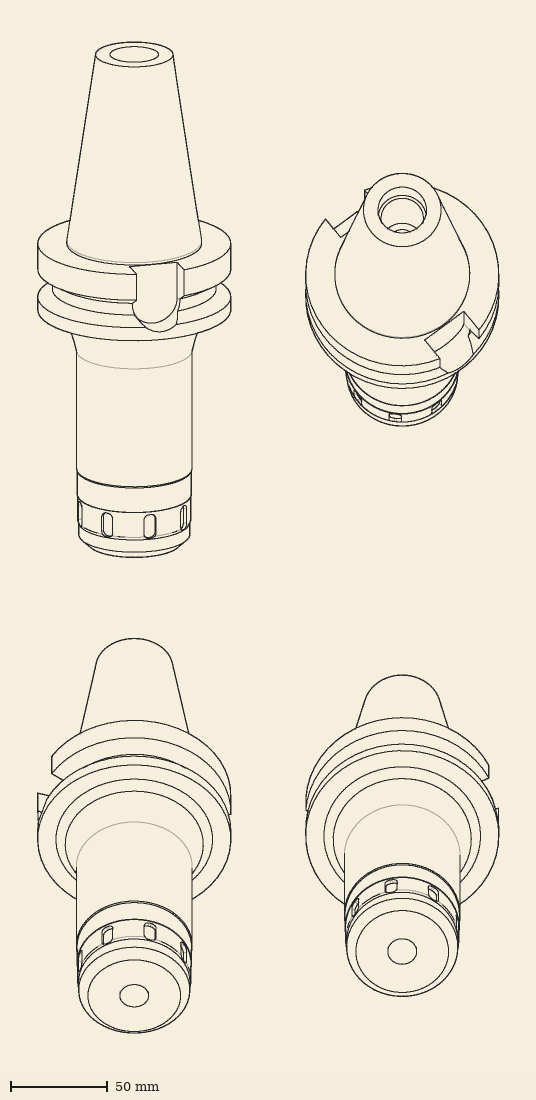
import cadquery as cq

total_length = 266.8

gauge_radius = 35.0
gauge_depth = 102.0
taper_ratio = 7 / 24
small_end_radius = gauge_radius - gauge_depth * taper_ratio / 2
bore_radius = 12.5
bore_depth = 13.3
thread_radius = 11.0
thread_depth = 53.4
coolant_radius = 7.5

flange_radius = 50.02
flange_top_depth = 103.3
flange_bottom_depth = 139.5
groove_radius = 42.5
groove_top_depth = 117.5
groove_bottom_depth = 132.3
groove_side_height = 4.3

drive_slot_width = 25.5
drive_slot_bottom_depth = 135.3
drive_slot_floor = 35.5

neck_top_radius = 40.5
neck_radius = 35.8
neck_chamfer_depth = 143.5
neck_end_depth = 161.7
neck_sag = 0.5

body_radius = 30.02
body_end_depth = 226.5
body_end_bevel = 0.8
collar_radius = 29.5
nut_top_depth = 240.5
nut_radius = 29.3
nut_edge_depth = 254.0
nut_end_depth = 255.5
nose_radius = 28.8
nose_chamfer_depth = 262.3
nose_end_radius = 24.0

spanner_slot_count = 8
spanner_slot_width = 6.5
spanner_slot_top_depth = 242.0
spanner_slot_bottom_depth = 255.0
spanner_slot_cut = 2.1
spanner_slot_corner = 2.7


def height(depth):
    """Z of a level given its depth below the small end of the taper."""
    return total_length - depth


def turned_body():
    neck_mid_radius = (neck_radius + body_radius) / 2 - neck_sag
    neck_mid_height = height((neck_chamfer_depth + neck_end_depth) / 2)
    return (
        cq.Workplane("XZ")
        .moveTo(0, total_length)
        .lineTo(small_end_radius, total_length)
        .lineTo(gauge_radius, height(gauge_depth))
        .lineTo(gauge_radius, height(flange_top_depth))
        .lineTo(flange_radius, height(flange_top_depth))
        .lineTo(flange_radius, height(groove_top_depth))
        .lineTo(groove_radius, height(groove_top_depth + groove_side_height))
        .lineTo(groove_radius, height(groove_bottom_depth - groove_side_height))
        .lineTo(flange_radius, height(groove_bottom_depth))
        .lineTo(flange_radius, height(flange_bottom_depth))
        .lineTo(neck_top_radius, height(flange_bottom_depth))
        .lineTo(neck_radius, height(neck_chamfer_depth))
        .threePointArc((neck_mid_radius, neck_mid_height), (body_radius, height(neck_end_depth)))
        .lineTo(body_radius, height(body_end_depth - body_end_bevel / 2))
        .lineTo(collar_radius, height(body_end_depth + body_end_bevel / 2))
        .lineTo(collar_radius, height(nut_top_depth))
        .lineTo(nut_radius, height(nut_top_depth))
        .lineTo(nut_radius, height(nut_edge_depth))
        .lineTo(nose_radius, height(nut_end_depth))
        .lineTo(nose_radius, height(nose_chamfer_depth))
        .lineTo(nose_end_radius, 0)
        .lineTo(0, 0)
        .close()
        .revolve(360, (0, 0, 0), (0, 1, 0))
    )


def stepped_bore():
    bore = cq.Workplane("XY").circle(coolant_radius).extrude(total_length)
    for radius, depth in ((thread_radius, thread_depth), (bore_radius, bore_depth)):
        step = cq.Workplane("XY").workplane(offset=height(depth)).circle(radius).extrude(depth)
        bore = bore.union(step)
    return bore


def drive_slot():
    """Round-bottomed slot on the +X side, open at the top of the flange."""
    half_width = drive_slot_width / 2
    arc_height = height(drive_slot_bottom_depth) + half_width
    return (
        cq.Workplane("YZ", origin=(drive_slot_floor, 0, 0))
        .moveTo(-half_width, height(flange_top_depth))
        .lineTo(-half_width, arc_height)
        .threePointArc((0, height(drive_slot_bottom_depth)), (half_width, arc_height))
        .lineTo(half_width, height(flange_top_depth))
        .close()
        .extrude(flange_radius)
    )


def spanner_slot():
    """Shallow round-cornered pocket on the +X side of the nut."""
    slot_height = spanner_slot_bottom_depth - spanner_slot_top_depth
    mid_depth = (spanner_slot_bottom_depth + spanner_slot_top_depth) / 2
    floor = nut_radius - spanner_slot_cut
    return (
        cq.Workplane("YZ", origin=(floor, 0, height(mid_depth)))
        .rect(spanner_slot_width, slot_height)
        .extrude(body_radius)
        .edges("|X")
        .fillet(spanner_slot_corner)
    )


result = turned_body().cut(stepped_bore())

for side_angle in (0, 180):
    result = result.cut(drive_slot().rotate((0, 0, 0), (0, 0, 1), side_angle))

for index in range(spanner_slot_count):
    slot_angle = index * 360 / spanner_slot_count
    result = result.cut(spanner_slot().rotate((0, 0, 0), (0, 0, 1), slot_angle))